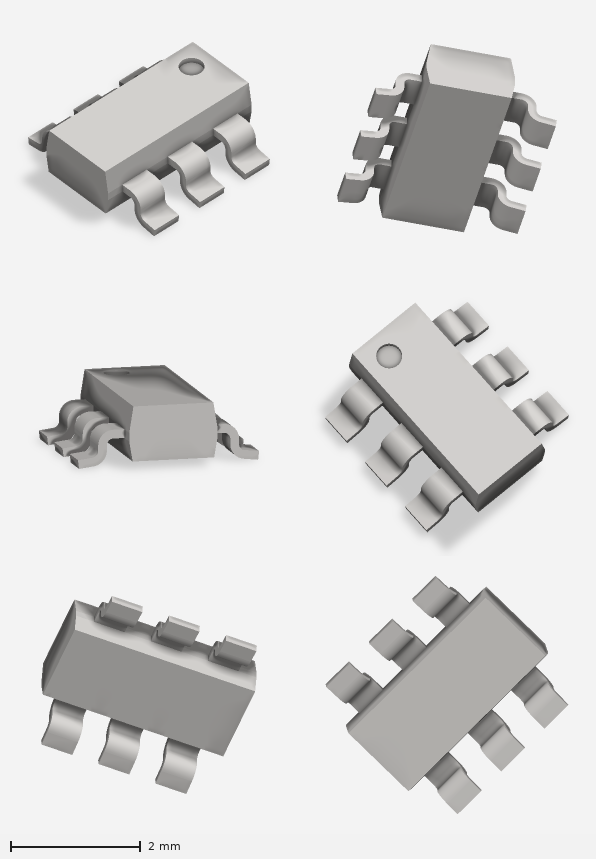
import cadquery as cq
import math

housing_length = 3.0
waist_width = 1.405
top_inset = 0.065
bottom_inset = 0.055
housing_top = 1.0
housing_bottom = 0.135

marker_diameter = 0.4
marker_depth = 0.1
marker_x = -0.23
marker_y = 1.1

lead_span = 2.88
lead_thickness = 0.138
lead_width = 0.51
lead_pitch = 0.948
leads_per_side = 3
lead_top = 0.588
shank_outer_x = 1.12
inner_bend_radius = 0.102
foot_tilt = math.radians(7)

half_waist = waist_width / 2
lead_bottom = lead_top - lead_thickness
outer_bend_radius = inner_bend_radius + lead_thickness


def make_housing():
    """Block with drafted sides above and below the waist, with the marker dimple."""
    half_top = half_waist - top_inset
    half_bottom = half_waist - bottom_inset
    body = (
        cq.Workplane("XZ")
        .polyline([
            (-half_bottom, housing_bottom),
            (half_bottom, housing_bottom),
            (half_waist, lead_bottom),
            (half_waist, lead_top),
            (half_top, housing_top),
            (-half_top, housing_top),
            (-half_waist, lead_top),
            (-half_waist, lead_bottom),
        ])
        .close()
        .extrude(housing_length / 2, both=True)
    )
    dimple = (
        cq.Workplane("XY", origin=(marker_x, marker_y, housing_top - marker_depth))
        .circle(marker_diameter / 2)
        .extrude(marker_depth)
    )
    return body.cut(dimple)


def polar(center, radius, angle):
    """Point at the given radius and angle from a center."""
    return (center[0] + radius * math.cos(angle), center[1] + radius * math.sin(angle))


def make_lead():
    """Lead on the +X side, centred on Y = 0, with its toe resting on Z = 0."""
    shoulder = (shank_outer_x - outer_bend_radius, lead_top - outer_bend_radius)
    shoulder_middle = math.radians(45)

    ankle_x = shank_outer_x + inner_bend_radius
    heel_angle = math.radians(270) - foot_tilt
    ankle_middle = (math.pi + heel_angle) / 2
    foot_top_start_x = ankle_x + inner_bend_radius * math.cos(heel_angle)
    foot_length = (lead_span / 2 - foot_top_start_x) / math.cos(foot_tilt)
    foot_drop = foot_length * math.sin(foot_tilt)
    ankle = (ankle_x, foot_drop + outer_bend_radius * math.cos(foot_tilt))
    foot_top_start = polar(ankle, inner_bend_radius, heel_angle)
    foot_bottom_start = polar(ankle, outer_bend_radius, heel_angle)
    toe_top = polar(foot_top_start, foot_length, -foot_tilt)
    toe_bottom = polar(foot_bottom_start, foot_length, -foot_tilt)

    return (
        cq.Workplane("XZ")
        .moveTo(half_waist, lead_top)
        .lineTo(shoulder[0], lead_top)
        .threePointArc(
            polar(shoulder, outer_bend_radius, shoulder_middle),
            (shank_outer_x, shoulder[1]),
        )
        .lineTo(shank_outer_x, ankle[1])
        .threePointArc(polar(ankle, inner_bend_radius, ankle_middle), foot_top_start)
        .lineTo(*toe_top)
        .lineTo(*toe_bottom)
        .lineTo(*foot_bottom_start)
        .threePointArc(
            polar(ankle, outer_bend_radius, ankle_middle),
            (shank_outer_x - lead_thickness, ankle[1]),
        )
        .lineTo(shank_outer_x - lead_thickness, shoulder[1])
        .threePointArc(
            polar(shoulder, inner_bend_radius, shoulder_middle),
            (shoulder[0], lead_bottom),
        )
        .lineTo(half_waist, lead_bottom)
        .close()
        .extrude(lead_width / 2, both=True)
    )


housing = make_housing()

right_lead = make_lead()
left_lead = right_lead.mirror("YZ")
leads = []
for index in range(leads_per_side):
    lead_y = (index - (leads_per_side - 1) / 2) * lead_pitch
    for lead in (left_lead, right_lead):
        leads.append(lead.translate((0, lead_y, 0)).val())

result = cq.Compound.makeCompound([housing.val(), *leads])